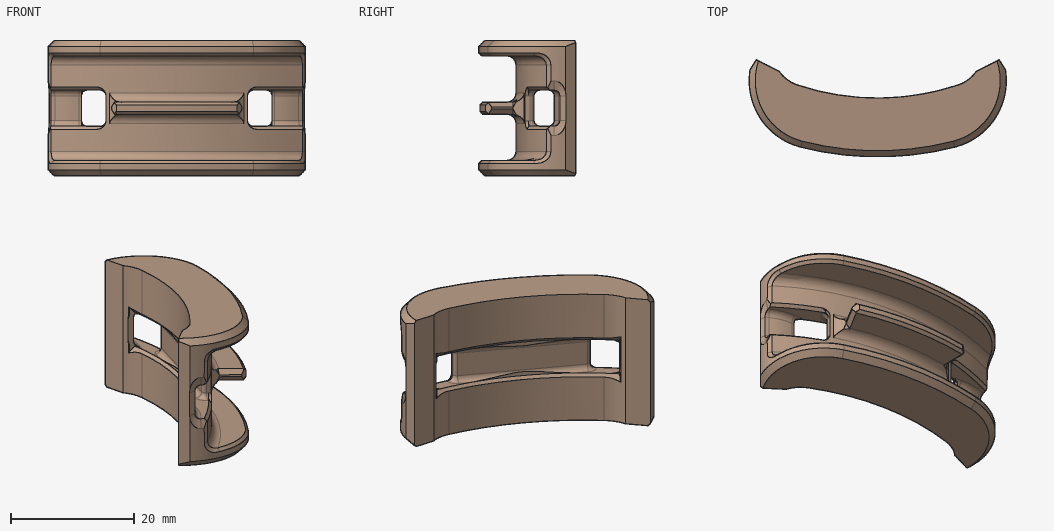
import cadquery as cq
import math

length = 41.75
depth = 15.8
height = 22.0
half_length = length / 2
half_height = height / 2
clearance = 2.1
selection_margin = 0.4

front_radius = 50.5
floor_radius = 44.45
back_radius = 40.95
axis_y = front_radius

end_radius = 11.15
end_x = half_length - end_radius
end_y = axis_y - math.sqrt((front_radius - end_radius) ** 2 - end_x**2)
end_sweep = math.radians(32)

ear_tip_x = 19.7
ear_bevel_x = 20.75
ear_bevel_y = 14.1
ear_heel = (16.0, 13.9)
ear_blend_middle = (14.82, 12.65)
ear_blend_x = 12.95

outer_chamfer = 1.0
rim_chamfer = 0.5
flange_thickness = 2.55
pocket_fillet = 1.45
pocket_half_height = half_height - flange_thickness

strap_half_height = 2.92
strap_fillet = 0.95
strap_inner_x = 11.5
strap_outer_x = 15.45
strap_front_y = 9.0
strap_floor_low = (15.85, 12.27)
strap_floor_middle = (17.95, 12.45)
strap_floor_high = (19.8, 13.0)
strap_mouth_x = 20.4
strap_mouth_y = 13.2
strap_flare = 1.5
strap_flare_front_y = 5.0
strap_corner = 1.5
wall_end_fillet = 0.63

rib_half_length = 10.6
rib_half_thickness = 1.0
rib_tip_radius = 50.35
rib_tip_chamfer = 0.5
rib_ridge_half = 0.15
rib_root_corner = 0.05
rib_end_chamfer_slope = 0.8
rib_root_hollow = 0.4
rib_end_slant = 0.85
rib_neck_height = 1.8
rib_neck_half_length = 9.6
rib_root_half_length = 10.9


def y_on_arc(radius, x):
    """Y of the front half of a circle about the shared axis."""
    return axis_y - math.sqrt(radius**2 - x**2)


def ring(points):
    """Full ring about the shared axis from an outline of (radius, z) points."""
    return (
        cq.Workplane("XZ", origin=(0, axis_y, 0))
        .polyline(points)
        .close()
        .revolve(360, (0, 0, 0), (0, 1, 0))
    )


def crescent_blank():
    """Lens-shaped block with chamfered top and bottom edges."""
    ratio = front_radius / (front_radius - end_radius)
    join_x = end_x * ratio
    join_y = axis_y - (axis_y - end_y) * ratio
    rear_x = end_x + end_radius * math.cos(end_sweep)
    rear_y = end_y + end_radius * math.sin(end_sweep)
    return (
        cq.Workplane("XY", origin=(0, 0, -half_height))
        .moveTo(-rear_x, rear_y)
        .threePointArc((-half_length, end_y), (-join_x, join_y))
        .threePointArc((0, 0), (join_x, join_y))
        .threePointArc((half_length, end_y), (rear_x, rear_y))
        .close()
        .extrude(height)
        .faces("<Z or >Z")
        .chamfer(outer_chamfer)
    )


def pocket():
    """Ring-shaped pocket with rounded corners at its floor."""
    return (
        ring(
            [
                (floor_radius, -pocket_half_height),
                (front_radius + clearance, -pocket_half_height),
                (front_radius + clearance, pocket_half_height),
                (floor_radius, pocket_half_height),
            ]
        )
        .faces("<Z or >Z")
        .edges("%CIRCLE")
        .edges(cq.selectors.RadiusNthSelector(0))
        .fillet(pocket_fillet)
    )


def back_envelope():
    """Space kept in front of the concave back and inside the ear bevels."""
    ear_tip = (ear_tip_x, depth)
    bevel_slope = (ear_bevel_y - depth) / (ear_bevel_x - ear_tip_x)
    side_x = half_length + clearance
    side_y = depth + bevel_slope * (side_x - ear_tip_x)
    blend_y = y_on_arc(back_radius, ear_blend_x)
    back_y = axis_y - back_radius
    return (
        cq.Workplane("XY", origin=(0, 0, -half_height))
        .moveTo(-side_x, -clearance)
        .lineTo(-side_x, side_y)
        .lineTo(-ear_tip_x, depth)
        .lineTo(-ear_heel[0], ear_heel[1])
        .threePointArc((-ear_blend_middle[0], ear_blend_middle[1]), (-ear_blend_x, blend_y))
        .threePointArc((0, back_y), (ear_blend_x, blend_y))
        .threePointArc(ear_blend_middle, ear_heel)
        .lineTo(*ear_tip)
        .lineTo(side_x, side_y)
        .lineTo(side_x, -clearance)
        .close()
        .extrude(height)
    )


def cut_pocket(block):
    """Cut the pocket and chamfer its rim, leaving the rounded root as it is."""
    reach = half_length + clearance
    rim_top = pocket_half_height + rim_chamfer
    root_y = front_radius - floor_radius - pocket_fillet
    inside = cq.selectors.BoxSelector((-reach, -reach, -rim_top), (reach, reach, rim_top), boundingbox=True)
    root = cq.selectors.BoxSelector(
        (-selection_margin, root_y, -rim_top), (selection_margin, depth, rim_top)
    )
    return block.cut(pocket()).edges(inside - root).chamfer(rim_chamfer)


def strap_passage():
    """Left half of the strap passage: over the ear, past the wall end and across the back."""
    outside_x = half_length + clearance
    behind_y = depth + clearance
    open_front_y = y_on_arc(floor_radius, strap_inner_x) - clearance
    past_middle_x = clearance
    opening = (
        cq.Workplane("XY", origin=(0, 0, -strap_half_height))
        .moveTo(-outside_x, open_front_y)
        .lineTo(-strap_inner_x, open_front_y)
        .lineTo(-strap_inner_x, strap_front_y)
        .lineTo(past_middle_x, strap_front_y)
        .lineTo(past_middle_x, behind_y)
        .lineTo(-strap_outer_x, behind_y)
        .lineTo(-strap_outer_x, strap_floor_low[1])
        .lineTo(-strap_floor_low[0], strap_floor_low[1])
        .threePointArc(
            (-strap_floor_middle[0], strap_floor_middle[1]),
            (-strap_floor_high[0], strap_floor_high[1]),
        )
        .lineTo(-strap_mouth_x, strap_mouth_y)
        .lineTo(-outside_x, strap_mouth_y)
        .close()
        .extrude(2 * strap_half_height)
    )
    wall_end_edge = cq.selectors.NearestToPointSelector((-strap_inner_x, strap_front_y, 0))
    opening = opening.edges(wall_end_edge).fillet(wall_end_fillet)

    walls = cq.selectors.BoxSelector(
        (-outside_x + selection_margin, open_front_y + selection_margin, -half_height),
        (past_middle_x - selection_margin, behind_y - selection_margin, half_height),
    )
    return opening.faces("<Z or >Z").edges(walls).fillet(strap_fillet)


def strap_side_flare():
    """Wide chamfer where the strap passage leaves the end of the part."""
    top_y = strap_mouth_y + strap_flare
    flare_depth = half_length - strap_mouth_x
    return (
        cq.Workplane("YZ", origin=(-half_length, (top_y + strap_flare_front_y) / 2, 0))
        .sketch()
        .rect(top_y - strap_flare_front_y, 2 * (strap_half_height + strap_flare))
        .vertices()
        .fillet(strap_fillet + strap_flare)
        .finalize()
        .extrude(flare_depth, taper=math.degrees(math.atan2(strap_flare, flare_depth)))
    )


def strap_front_flare():
    """Chamfer along the pocket floor, fading out round the corners near the rib."""
    wide = strap_half_height + 2 * rim_chamfer
    wedge = ring(
        [
            (floor_radius - rim_chamfer, -strap_half_height),
            (floor_radius + rim_chamfer, -wide),
            (floor_radius + rim_chamfer, wide),
            (floor_radius - rim_chamfer, strap_half_height),
        ]
    )
    span = half_length + clearance - strap_inner_x
    mouth = (
        cq.Workplane("XZ", origin=(-strap_inner_x - span / 2, 0, 0))
        .rect(span, 2 * (strap_half_height + rim_chamfer))
        .extrude(-depth)
        .edges("|Y and >X")
        .fillet(strap_corner)
    )
    return wedge.intersect(mouth)


def strap_back_flare():
    """Chamfer along both long edges of the strap groove in the concave back."""
    wide = strap_half_height + 2 * rim_chamfer
    wedge = ring(
        [
            (back_radius - rim_chamfer, -wide),
            (back_radius + rim_chamfer, -strap_half_height),
            (back_radius + rim_chamfer, strap_half_height),
            (back_radius - rim_chamfer, wide),
        ]
    )
    return wedge.intersect(cq.Workplane("XY").box(2 * strap_outer_x, 2 * depth, 4 * strap_half_height))


def rib():
    """Curved central rib with a filleted root and chamfered edges."""
    root_radius = floor_radius + pocket_fillet
    root_half = rib_half_thickness + pocket_fillet
    inset = pocket_fillet * (1 - math.sqrt(0.5))
    buried = floor_radius - clearance
    tip = rib_tip_radius - rib_tip_chamfer
    tip_half = rib_half_thickness - rib_tip_chamfer
    section = (
        cq.Workplane("XZ", origin=(0, axis_y, 0))
        .moveTo(buried, -root_half)
        .lineTo(floor_radius, -root_half)
        .threePointArc((floor_radius + inset, -rib_half_thickness - inset), (root_radius, -rib_half_thickness))
        .lineTo(tip, -rib_half_thickness)
        .lineTo(rib_tip_radius, -tip_half)
        .lineTo(rib_tip_radius, tip_half)
        .lineTo(tip, rib_half_thickness)
        .lineTo(root_radius, rib_half_thickness)
        .threePointArc((floor_radius + inset, rib_half_thickness + inset), (floor_radius, root_half))
        .lineTo(buried, root_half)
        .close()
        .revolve(360, (0, 0, 0), (0, 1, 0))
    )
    return section.intersect(rib_envelope(root_half))


def end_chamfered_outline(half_x, half_z, chamfer_x, chamfer_z):
    """Corner points of an X-Z rectangle with all four corners cut off."""
    quarter = [(half_x, half_z - chamfer_z), (half_x - chamfer_x, half_z)]
    right = [(x, -z) for x, z in quarter[::-1]] + quarter
    return right + [(-x, -z) for x, z in right]


def rib_plan(half_z):
    """Rib seen from above: concave root ends, ends spreading to the tip, slanted tip corners."""
    root_y = y_on_arc(floor_radius, rib_root_half_length)
    neck_y = root_y - rib_neck_height
    slant_half_length = rib_half_length - rib_end_slant
    slant_start_y = y_on_arc(rib_tip_radius, rib_half_length) + rib_end_slant
    slant_end_y = y_on_arc(rib_tip_radius, slant_half_length)
    root_middle = (
        -rib_neck_half_length - rib_root_hollow * (rib_root_half_length - rib_neck_half_length),
        root_y - rib_root_hollow * rib_neck_height,
    )
    left = (
        cq.Workplane("XY", origin=(0, 0, -half_z))
        .moveTo(0, root_y)
        .lineTo(-rib_root_half_length, root_y)
        .threePointArc(root_middle, (-rib_neck_half_length, neck_y))
        .lineTo(-rib_half_length, slant_start_y)
        .lineTo(-slant_half_length, slant_end_y)
        .lineTo(-slant_half_length, 0)
        .lineTo(0, 0)
        .close()
        .extrude(2 * half_z)
    )
    return left.union(left.mirror("YZ"))


def outline_loft(start_y, start_outline, end_y, end_outline):
    """Straight-sided solid between two X-Z outlines."""
    return (
        cq.Workplane("XZ", origin=(0, start_y, 0))
        .polyline(start_outline)
        .close()
        .workplane(offset=start_y - end_y)
        .polyline(end_outline)
        .close()
        .loft(ruled=True)
    )


def rib_envelope(half_z):
    """Space that trims the rib ends: its plan, with the upright end edges chamfered."""
    root_y = y_on_arc(floor_radius, rib_root_half_length)
    neck_y = root_y - rib_neck_height
    slant_y = y_on_arc(rib_tip_radius, rib_half_length) + rib_end_slant
    spread = (rib_half_length - rib_neck_half_length) / (neck_y - slant_y)
    front_half_length = rib_neck_half_length + spread * neck_y

    chamfer_z = half_z - rib_ridge_half
    chamfer_x = chamfer_z * rib_end_chamfer_slope
    root_outline = end_chamfered_outline(rib_root_half_length, half_z, rib_root_corner, rib_root_corner)
    neck_outline = end_chamfered_outline(rib_neck_half_length, half_z, chamfer_x, chamfer_z)
    front_outline = end_chamfered_outline(front_half_length, half_z, chamfer_x, chamfer_z)
    root = outline_loft(root_y, root_outline, neck_y, neck_outline)
    blade = outline_loft(neck_y, neck_outline, 0, front_outline)
    return root.union(blade).intersect(rib_plan(half_z))


def whole_strap_opening():
    left = strap_passage().union(strap_side_flare()).union(strap_front_flare())
    return left.union(left.mirror("YZ")).union(strap_back_flare())


body = cut_pocket(crescent_blank()).intersect(back_envelope())
result = body.cut(whole_strap_opening()).union(rib())